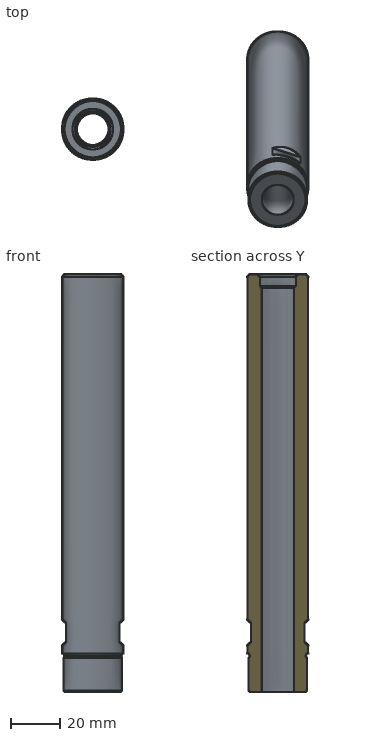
import cadquery as cq

length = 170.5
body_diameter = 25.0
spigot_diameter = 24.0
shoulder_height = 15.7
top_chamfer = 1.0
spigot_chamfer = 0.7

groove_diameter = 23.0
groove_width = 1.9

bore_diameter = 13.0
socket_diameter = 14.5
socket_depth = 4.8
socket_mouth_diameter = 16.5
socket_mouth_chamfer = (socket_mouth_diameter - socket_diameter) / 2
socket_seat_height = (socket_diameter - bore_diameter) / 2

across_flats = 22.0
flat_bottom = 20.5
flat_top = 28.1
flat_depth = (body_diameter - across_flats) / 2


def make_body():
    """Turned outer form, revolved from its half profile."""
    body_radius = body_diameter / 2
    spigot_radius = spigot_diameter / 2
    groove_radius = groove_diameter / 2
    groove_bottom = shoulder_height - groove_width
    return (
        cq.Workplane("XZ")
        .moveTo(0, 0)
        .lineTo(spigot_radius - spigot_chamfer, 0)
        .lineTo(spigot_radius, spigot_chamfer)
        .lineTo(spigot_radius, groove_bottom)
        .lineTo(groove_radius, groove_bottom + groove_width / 2)
        .lineTo(spigot_radius, shoulder_height)
        .lineTo(body_radius, shoulder_height)
        .lineTo(body_radius, length - top_chamfer)
        .lineTo(body_radius - top_chamfer, length)
        .lineTo(0, length)
        .close()
        .revolve(360, (0, 0), (0, 1))
    )


def make_bore():
    """Through bore, conical seat, socket and chamfered mouth."""
    bore_radius = bore_diameter / 2
    socket_radius = socket_diameter / 2
    socket_bottom = length - socket_depth
    return (
        cq.Workplane("XZ")
        .moveTo(0, 0)
        .lineTo(bore_radius, 0)
        .lineTo(bore_radius, socket_bottom - socket_seat_height)
        .lineTo(socket_radius, socket_bottom)
        .lineTo(socket_radius, length - socket_mouth_chamfer)
        .lineTo(socket_mouth_diameter / 2, length)
        .lineTo(0, length)
        .close()
        .revolve(360, (0, 0), (0, 1))
    )


def make_flat_cutter(side):
    """Trapezoidal cutter for the flat on the given side (-1 or +1) of X."""
    inner_x = side * across_flats / 2
    outer_x = side * body_diameter / 2
    return (
        cq.Workplane("XZ")
        .moveTo(inner_x, flat_bottom)
        .lineTo(outer_x, flat_bottom - flat_depth)
        .lineTo(outer_x, flat_top + flat_depth)
        .lineTo(inner_x, flat_top)
        .close()
        .extrude(body_diameter / 2, both=True)
    )


result = make_body().cut(make_bore())
for side in (-1, 1):
    result = result.cut(make_flat_cutter(side))